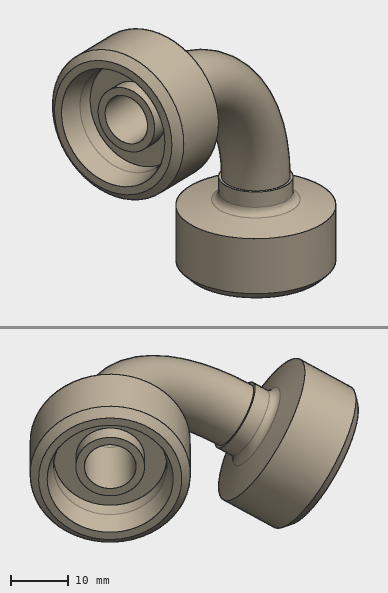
import cadquery as cq
import math


overall_length = 57.5

pipe_diameter = 12.0
pipe_bore = 9.0
pipe_end_depth = 4.0

nut_diameter = 28.0
nut_chamfer = 1.5
shoulder_height = 12.1
shoulder_angle = math.radians(10)
collar_diameter = 13.0
nut_height = 17.6
neck_fillet = 1.5

mouth_diameter = 22.0
recess_diameter = 19.8
mouth_taper_depth = 4.0
recess_depth = 7.15

nut_radius = nut_diameter / 2
bend_radius = overall_length - nut_radius - nut_height
pipe_straight = nut_height - pipe_end_depth

axis_distance = nut_height + bend_radius


def make_nut():
    """Nut around Z with its open face at Z = 0 and its collar on top."""
    hole_radius = pipe_diameter / 2
    collar_radius = collar_diameter / 2
    cone_rise = (nut_radius - collar_radius) * math.tan(shoulder_angle)
    profile = (
        cq.Workplane("XZ")
        .moveTo(mouth_diameter / 2, 0)
        .lineTo(nut_radius - nut_chamfer, 0)
        .lineTo(nut_radius, nut_chamfer)
        .lineTo(nut_radius, shoulder_height)
        .lineTo(collar_radius, shoulder_height + cone_rise)
        .lineTo(collar_radius, nut_height)
        .lineTo(hole_radius, nut_height)
        .lineTo(hole_radius, recess_depth)
        .lineTo(recess_diameter / 2, recess_depth)
        .lineTo(recess_diameter / 2, mouth_taper_depth)
        .close()
    )
    nut = profile.revolve(360, (0, 0, 0), (0, 1, 0))

    corner_height = shoulder_height + cone_rise
    band = 0.05
    corner_box = cq.selectors.BoxSelector(
        (-nut_radius, -nut_radius, corner_height - band),
        (nut_radius, nut_radius, corner_height + band),
    )
    return nut.edges(corner_box).fillet(neck_fillet)


def make_pipe():
    """Hollow pipe: straight end, quarter bend toward -Y, straight end."""
    bend_middle = bend_radius * math.sqrt(0.5)
    path = (
        cq.Workplane("YZ")
        .moveTo(0, pipe_end_depth)
        .lineTo(0, nut_height)
        .threePointArc(
            (bend_middle - bend_radius, nut_height + bend_middle),
            (-bend_radius, axis_distance),
        )
        .lineTo(-bend_radius - pipe_straight, axis_distance)
    )
    section = (
        cq.Workplane("XY", origin=(0, 0, pipe_end_depth))
        .circle(pipe_diameter / 2)
        .circle(pipe_bore / 2)
    )
    return section.sweep(path)


pipe = make_pipe()

nut_places = [
    (0, (0, 0, 0)),
    (-90, (0, -axis_distance, axis_distance)),
]
nuts = []
for turn, open_face_centre in nut_places:
    nut = make_nut().rotate((0, 0, 0), (1, 0, 0), turn).translate(open_face_centre)
    nuts.append(nut)

result = cq.Compound.makeCompound([pipe.val(), *[nut.val() for nut in nuts]])